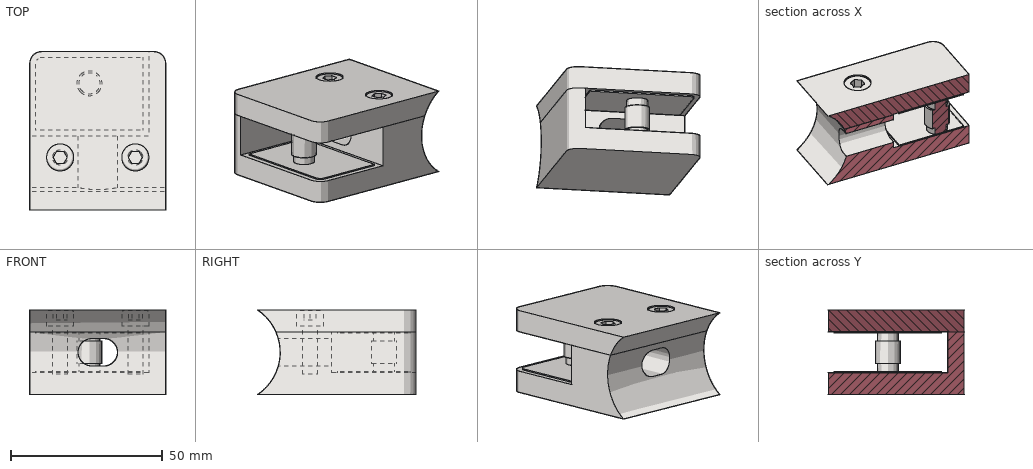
import cadquery as cq


WIDTH = 45.0
DEPTH = 52.45
HEIGHT = 28.0
CORNER_RADIUS = 4.0
POST_RADIUS = 16.85

JAW_THICKNESS = 7.3
OPENING_DEPTH = 27.95
SIDE_WALL = 5.5

SLOT_WIDTH = 13.0
SLOT_HEIGHT = 9.0

PAD_THICKNESS = 0.4
PAD_MARGIN = 2.0

PIN_Y = 41.9
PIN_END_DIAMETER = 7.0
PIN_MIDDLE_DIAMETER = 8.25
PIN_MIDDLE_LENGTH = 7.55

SCREW_SPACING = 24.85
SCREW_Y = 17.4
HEAD_DIAMETER = 8.95
HEAD_HEIGHT = 5.0
HEAD_EDGE_RADIUS = 0.5
HEAD_RECESS = 0.25
SHANK_DIAMETER = 5.0
SHANK_LENGTH = 16.0
SOCKET_ACROSS_CORNERS = 4.65
SOCKET_DEPTH = 3.15

LEFT = -WIDTH / 2
TOP = HEIGHT / 2
BOTTOM = -TOP
SPLIT_Z = TOP - JAW_THICKNESS
OPENING_HEIGHT = HEIGHT - 2 * JAW_THICKNESS
OPENING_WIDTH = WIDTH - SIDE_WALL
OPENING_Y = DEPTH - OPENING_DEPTH
OPENING_CENTRE_X = LEFT + OPENING_WIDTH / 2
POST_CENTRE_Y = -((POST_RADIUS**2 - TOP**2) ** 0.5)
SCREW_XS = (-SCREW_SPACING / 2, SCREW_SPACING / 2)
HEAD_TOP_Z = TOP - HEAD_RECESS
HEAD_SEAT_Z = HEAD_TOP_Z - HEAD_HEIGHT
SHANK_END_Z = HEAD_SEAT_Z - SHANK_LENGTH


def cylinder_z(x, y, diameter, z_low, z_high):
    """Upright cylinder between two heights."""
    return (
        cq.Workplane("XY", origin=(x, y, z_low))
        .circle(diameter / 2)
        .extrude(z_high - z_low)
    )


def clamp_layer(z_low, z_high):
    """Layer of the clamp block, with rounded back corners and the post saddle."""
    layer = (
        cq.Workplane("XY", origin=(0, DEPTH / 2, z_low))
        .rect(WIDTH, DEPTH)
        .extrude(z_high - z_low)
        .edges("|Z and >Y")
        .fillet(CORNER_RADIUS)
    )
    post = (
        cq.Workplane("YZ", origin=(LEFT, POST_CENTRE_Y, 0))
        .circle(POST_RADIUS)
        .extrude(WIDTH)
    )
    return layer.cut(post)


def make_base():
    """Lower jaw, post block and side wall in one piece."""
    base = clamp_layer(BOTTOM, SPLIT_Z)
    opening = cq.Workplane("XY").box(OPENING_WIDTH, OPENING_DEPTH, OPENING_HEIGHT)
    base = base.cut(opening.translate((OPENING_CENTRE_X, DEPTH - OPENING_DEPTH / 2, 0)))
    slot = cq.Workplane("XZ").slot2D(SLOT_WIDTH, SLOT_HEIGHT).extrude(-OPENING_Y)
    base = base.cut(slot)
    for x in SCREW_XS:
        base = base.cut(cylinder_z(x, SCREW_Y, SHANK_DIAMETER, SHANK_END_Z, SPLIT_Z))
    return base


def make_cover():
    """Upper jaw with a counterbored hole for each screw."""
    cover = clamp_layer(SPLIT_Z, TOP)
    for x in SCREW_XS:
        cover = cover.cut(cylinder_z(x, SCREW_Y, SHANK_DIAMETER, SPLIT_Z, HEAD_SEAT_Z))
        cover = cover.cut(cylinder_z(x, SCREW_Y, HEAD_DIAMETER, HEAD_SEAT_Z, TOP))
    return cover


def make_pad(z_low):
    """Thin glass pad; its outer back corner follows the rounded jaw corner."""
    pad_width = OPENING_WIDTH - 2 * PAD_MARGIN
    pad_depth = OPENING_DEPTH - 2 * PAD_MARGIN
    return (
        cq.Workplane("XY", origin=(OPENING_CENTRE_X, OPENING_Y + OPENING_DEPTH / 2, z_low))
        .rect(pad_width, pad_depth)
        .extrude(PAD_THICKNESS)
        .edges("|Z and <X and >Y")
        .fillet(CORNER_RADIUS - PAD_MARGIN)
    )


def make_pin():
    """Safety pin standing between the pads, thicker in the middle."""
    pin_end_z = OPENING_HEIGHT / 2 - PAD_THICKNESS
    middle_end_z = PIN_MIDDLE_LENGTH / 2
    pin = cylinder_z(OPENING_CENTRE_X, PIN_Y, PIN_END_DIAMETER, -pin_end_z, pin_end_z)
    middle = cylinder_z(OPENING_CENTRE_X, PIN_Y, PIN_MIDDLE_DIAMETER, -middle_end_z, middle_end_z)
    return pin.union(middle)


def make_screw(x):
    """Socket head screw, its head set slightly below the cover's top face."""
    head = cylinder_z(x, SCREW_Y, HEAD_DIAMETER, HEAD_SEAT_Z, HEAD_TOP_Z)
    head = head.faces(">Z").edges().fillet(HEAD_EDGE_RADIUS)
    shank = cylinder_z(x, SCREW_Y, SHANK_DIAMETER, SHANK_END_Z, HEAD_SEAT_Z)
    socket = (
        cq.Workplane("XY", origin=(x, SCREW_Y, HEAD_TOP_Z))
        .polygon(6, SOCKET_ACROSS_CORNERS)
        .extrude(-SOCKET_DEPTH)
    )
    return head.union(shank).cut(socket)


base = make_base()
cover = make_cover()
lower_pad = make_pad(-OPENING_HEIGHT / 2)
upper_pad = make_pad(OPENING_HEIGHT / 2 - PAD_THICKNESS)
pin = make_pin()
screws = [make_screw(x) for x in SCREW_XS]

result = cq.Compound.makeCompound(
    [
        base.val(),
        cover.val(),
        lower_pad.val(),
        upper_pad.val(),
        pin.val(),
        *[screw.val() for screw in screws],
    ]
)